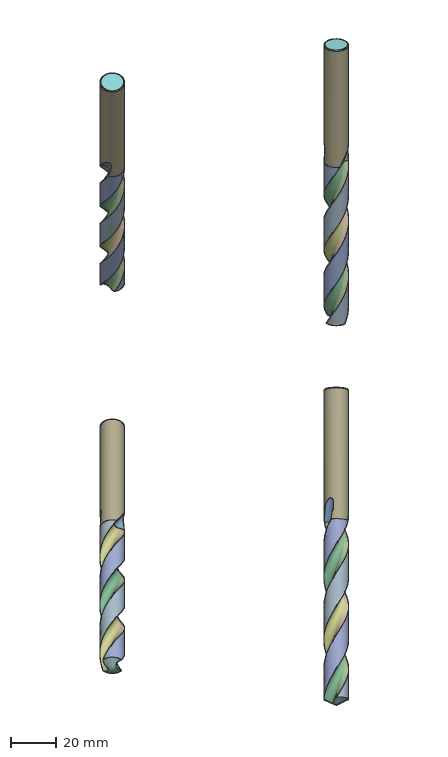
import cadquery as cq
import math

LENGTH = 142.0
DIAMETER = 11.0
RADIUS = DIAMETER / 2
TIP_HEIGHT = 2.7
SHANK_START = 82.8
TOP_CHAMFER = 0.4

FLUTE_COUNT = 2
PITCH = 56.1
TWIST = 360 * SHANK_START / PITCH
FLUTE_ANGLE = 82.0
FLUTE_CENTRE_ANGLE = 1.0
WEB_RADIUS = 1.8
CREASE_RADIUS = 3.5
CREASE_OFFSET = 10.0
RUNOUT_HEIGHT = 17.0
RUNOUT_LIFT = 3.4
CUTTER_DEPTH = 11.4


def polar(radius, angle):
    """Point at an angle in degrees, counted from -Y toward +X."""
    a = math.radians(angle)
    return (radius * math.sin(a), -radius * math.cos(a))


def add_flute(sketch, middle):
    """Continue an outline from the trailing lip across one flute to its leading lip."""
    leading = middle + FLUTE_ANGLE / 2
    crease = polar(CREASE_RADIUS, leading - CREASE_OFFSET)
    return sketch.threePointArc(polar(WEB_RADIUS, middle), crease).lineTo(*polar(RADIUS, leading))


def drill_section():
    """Section of the drill at the bottom: flutes alternating with round lands."""
    step = 360 / FLUTE_COUNT
    bottom_angle = FLUTE_CENTRE_ANGLE - TWIST
    sketch = cq.Workplane("XY").moveTo(*polar(RADIUS, bottom_angle - FLUTE_ANGLE / 2))
    for i in range(FLUTE_COUNT):
        middle = bottom_angle + i * step
        land_end = middle + step - FLUTE_ANGLE / 2
        sketch = add_flute(sketch, middle)
        sketch = sketch.threePointArc(polar(RADIUS, middle + step / 2), polar(RADIUS, land_end))
    return sketch.close()


def make_fluted_body():
    """Twisted drill section with its lower end cut to a cone."""
    point_envelope = (
        cq.Workplane("XZ")
        .polyline([(0, 0), (DIAMETER, 2 * TIP_HEIGHT), (DIAMETER, SHANK_START), (0, SHANK_START)])
        .close()
        .revolve(360, (0, 0), (0, 1))
    )
    return drill_section().twistExtrude(SHANK_START, TWIST).intersect(point_envelope)


def runout_cutter(middle):
    """Straight continuation of one flute, following the slope of its lips and rising outward."""
    trailing_lip = cq.Vector(*polar(RADIUS, middle - FLUTE_ANGLE / 2))
    leading_lip = cq.Vector(*polar(RADIUS, middle + FLUTE_ANGLE / 2))
    outward = cq.Vector(*polar(1, middle))
    sideways = cq.Vector(*polar(1, middle + 90))
    outline = cq.Workplane("XY").moveTo(trailing_lip.x, trailing_lip.y)
    outline = add_flute(outline, middle)
    for lip in (leading_lip, trailing_lip):
        outer = lip + outward * CUTTER_DEPTH
        outline = outline.lineTo(outer.x, outer.y)
    face = cq.Face.makeFromWires(outline.close().wires().val())
    lip_travel = RUNOUT_HEIGHT * math.pi * DIAMETER / PITCH
    path = sideways * lip_travel + outward * RUNOUT_LIFT + cq.Vector(0, 0, RUNOUT_HEIGHT)
    return cq.Workplane(cq.Solid.extrudeLinear(face, path)).translate((0, 0, SHANK_START))


def make_shank():
    """Chamfered cylinder with the flutes running out at its lower end."""
    shank = (
        cq.Workplane("XY", origin=(0, 0, SHANK_START))
        .circle(RADIUS)
        .extrude(LENGTH - SHANK_START)
        .faces(">Z")
        .chamfer(TOP_CHAMFER)
    )
    for i in range(FLUTE_COUNT):
        shank = shank.cut(runout_cutter(FLUTE_CENTRE_ANGLE + 360 * i / FLUTE_COUNT))
    return shank


fluted_body = make_fluted_body()
shank = make_shank()

result = cq.Compound.makeCompound([*fluted_body.solids().vals(), *shank.solids().vals()])